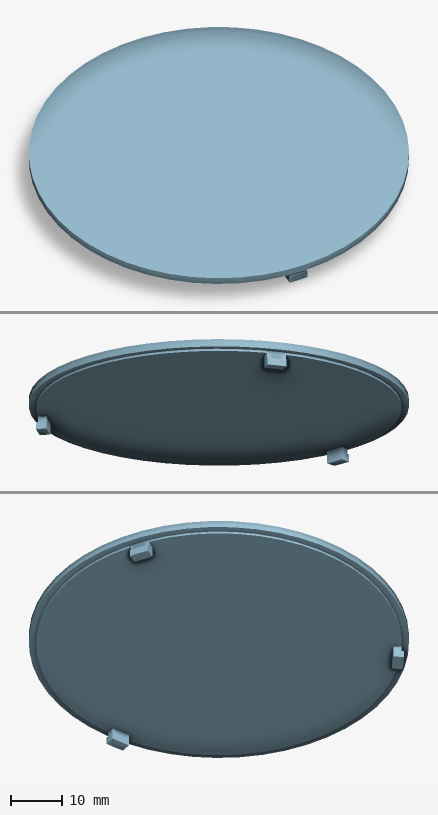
import cadquery as cq
import math

cover_diameter = 73.9
rim_diameter = 71.0
total_height = 4.4
cover_thickness = 1.5
rim_height = 0.45
tab_width = 3.85
tab_inner_radius = 33.85
lip_projection = 0.45
lip_height = 1.5
tab_angles = (90, 210, 330)

cover_radius = cover_diameter / 2
rim_radius = rim_diameter / 2
lip_radius = rim_radius + lip_projection
cover_bottom = total_height - cover_thickness
rim_bottom = cover_bottom - rim_height
neck_height = rim_bottom - lip_height


def disc(radius, bottom, height):
    """Solid disc centred on the Z axis."""
    return cq.Workplane("XY").workplane(offset=bottom).circle(radius).extrude(height)


def turn(body, angle):
    """Turn a body about the Z axis."""
    return body.rotate((0, 0, 0), (0, 0, 1), angle)


def neck_envelope():
    """Straight-sided block on the +X side, reaching from the tab's inner face past the rim."""
    return (
        cq.Workplane("XY")
        .box(cover_radius, tab_width, neck_height, centered=(False, True, False))
        .translate((tab_inner_radius, 0, lip_height))
    )


def tab_lip():
    """Foot of a tab on the +X side, with a round outer face projecting past the rim."""
    half_width = tab_width / 2
    corner_x = math.sqrt(lip_radius**2 - half_width**2)
    return (
        cq.Workplane("XY")
        .moveTo(tab_inner_radius, -half_width)
        .lineTo(corner_x, -half_width)
        .threePointArc((lip_radius, 0), (corner_x, half_width))
        .lineTo(tab_inner_radius, half_width)
        .close()
        .extrude(lip_height)
    )


clearance = disc(cover_radius, lip_height, neck_height)
for tab_angle in tab_angles:
    clearance = clearance.cut(turn(neck_envelope(), tab_angle))
rim_with_necks = disc(rim_radius, lip_height, cover_bottom - lip_height).cut(clearance)

result = disc(cover_radius, cover_bottom, cover_thickness).union(rim_with_necks)

for tab_angle in tab_angles:
    result = result.union(turn(tab_lip(), tab_angle))